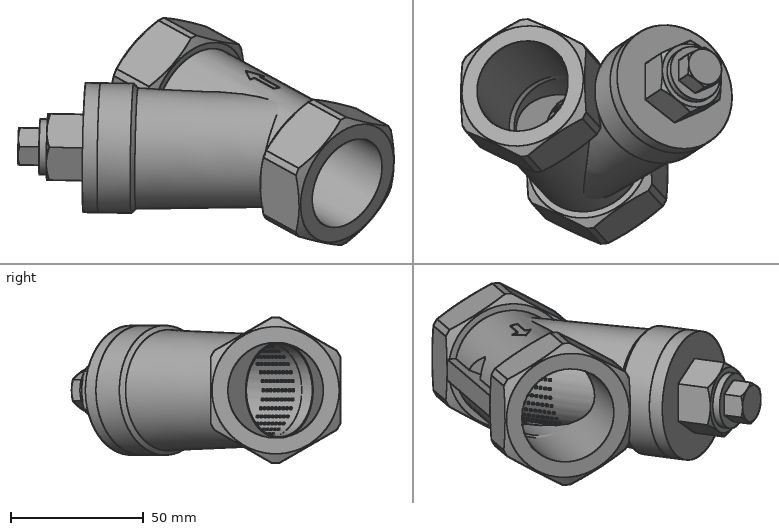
import cadquery as cq
import math

body_length = 105.0
pipe_dia = 43.0
port_dia = 36.0
hex_flats = 49.0
hex_corner_dia = 55.0
hex_face_dia = 48.0
hex_width = 22.1
chamfer_angle = 30.0
hex_inner_x = body_length / 2 - hex_width

passage_dia = 35.2
passage_shift = 1.05
port_end_x = -12.0
passage_start_x = port_end_x + 1.6

rib_half_height = 4.1
notch_left = (-4.2, 21.2)
notch_tip = (-0.6, 17.9)
notch_right = (11.8, 21.2)
notch_tip_radius = 1.6
arrow_y = 4.35
arrow_tip_x = -8.45
arrow_neck_x = -2.0
arrow_tail_x = 8.95
arrow_head_half = 3.65
arrow_shaft_half = 1.38
arrow_height = 0.2

branch_x = 20.0
branch_root_dia = 42.1
branch_end_dia = 45.7
collar_dia = 49.0
collar_chamfer_start = 57.2
collar_start = 58.9
collar_end = 71.4
chamber_dia = 38.0
plug_dia = 40.0
plug_start = 60.0
wall_near = 8.0
wall_far = -2.0
seat_depth = 4.0

cap_dia = 49.0
cap_face = 77.0
cap_hex_flats = 25.0
cap_hex_end = 91.0
neck_dia = 21.0
neck_end = 93.9
tip_flats = 14.0
tip_end = 101.91

strainer_dia = 36.0
strainer_bore = 35.2
hole_dia = 1.0
holes_around = 32
hole_rings = 9
first_ring = 8.3
ring_pitch = 2.0

FAR = 200.0


def branch_plane(distance):
    """Plane square to the branch axis; local X is the part's Z."""
    step = distance / math.sqrt(2)
    return cq.Workplane(cq.Plane((branch_x - step, -step, 0), (0, 0, 1), (-1, -1, 0)))


def branch_cylinder(diameter, start, end):
    return branch_plane(start).circle(diameter / 2).extrude(end - start)


def branch_profile(points):
    """Turn (radius, distance) points around the branch axis."""
    axis_plane = cq.Plane((branch_x, 0, 0), (1, -1, 0), (0, 0, 1))
    outline = cq.Workplane(axis_plane).polyline([(r, -d) for r, d in points]).close()
    return outline.revolve(360, (0, 0), (0, 1))


def chamfered_nut(plane, flats, corner_dia, face_dia, length, both_ends):
    """Hexagon with a corner on local X, trimmed by a turned profile with chamfered ends."""
    corner = corner_dia / 2
    face = face_dia / 2
    rise = (corner - face) * math.tan(math.radians(chamfer_angle))
    nut = cq.Workplane(plane).polygon(6, flats / math.cos(math.pi / 6)).extrude(length)
    start = [(face, 0), (corner, rise)] if both_ends else [(corner, 0)]
    outline = [(0, 0), *start, (corner, length - rise), (face, length), (0, length)]
    turn_plane = cq.Plane(plane.origin, plane.xDir, -plane.yDir)
    turned = cq.Workplane(turn_plane).polyline(outline).close().revolve(360, (0, 0), (0, 1))
    return nut.intersect(turned)


def port_nut(start_x):
    plane = cq.Plane((start_x, 0, 0), (0, 0, 1), (1, 0, 0))
    return chamfered_nut(plane, hex_flats, hex_corner_dia, hex_face_dia, hex_width, True)


def back_rib():
    return cq.Workplane("XZ").rect(2 * hex_inner_x, 2 * rib_half_height).extrude(-hex_flats / 2)


def rib_notch():
    """Cut in the pipe wall beside the rib, with its floor level with the rib's upper face."""
    back = hex_flats / 2
    outline = [notch_left, notch_tip, notch_right, (notch_right[0], back), (notch_left[0], back)]
    notch = cq.Workplane("XY", origin=(0, 0, rib_half_height)).polyline(outline).close().extrude(pipe_dia)
    return notch.edges("|Z").edges("<Y").fillet(notch_tip_radius)


def flow_arrow():
    outline = [
        (arrow_tip_x, 0),
        (arrow_neck_x, arrow_head_half),
        (arrow_neck_x, arrow_shaft_half),
        (arrow_tail_x, arrow_shaft_half),
        (arrow_tail_x, -arrow_shaft_half),
        (arrow_neck_x, -arrow_shaft_half),
        (arrow_neck_x, -arrow_head_half),
    ]
    arrow = cq.Workplane("XY").center(0, arrow_y).polyline(outline).close().extrude(pipe_dia)
    skin = cq.Workplane("YZ").circle(pipe_dia / 2 + arrow_height).extrude(hex_inner_x, both=True)
    return arrow.intersect(skin)


def inlet_passage():
    port = cq.Workplane("YZ", origin=(-body_length / 2, 0, 0)).circle(port_dia / 2)
    port = port.extrude(body_length / 2 + port_end_x)
    narrowing = (
        cq.Workplane("YZ", origin=(port_end_x, 0, 0))
        .circle(port_dia / 2)
        .workplane(offset=passage_start_x - port_end_x)
        .center(-passage_shift, 0)
        .circle(passage_dia / 2)
        .loft(ruled=True)
    )
    passage = (
        cq.Workplane("YZ", origin=(passage_start_x, -passage_shift, 0))
        .circle(passage_dia / 2)
        .extrude(body_length)
    )
    return port.union(narrowing).union(passage)


def make_housing():
    housing = cq.Workplane("YZ").circle(pipe_dia / 2).extrude(hex_inner_x, both=True)
    housing = housing.cut(rib_notch()).union(back_rib()).union(flow_arrow())
    for start_x in (-body_length / 2, hex_inner_x):
        housing = housing.union(port_nut(start_x))
    branch = branch_profile([
        (0, 0),
        (branch_root_dia / 2, 0),
        (branch_end_dia / 2, collar_chamfer_start),
        (collar_dia / 2, collar_start),
        (collar_dia / 2, collar_end),
        (0, collar_end),
    ])
    housing = housing.union(branch)

    inlet = inlet_passage().intersect(branch_plane(wall_near).rect(FAR, FAR).extrude(FAR))
    outlet = cq.Workplane("YZ", origin=(-body_length / 2, 0, 0)).circle(port_dia / 2).extrude(body_length)
    outlet = outlet.intersect(branch_plane(wall_far).rect(FAR, FAR).extrude(-FAR))
    housing = housing.cut(inlet).cut(outlet)

    housing = housing.cut(branch_cylinder(strainer_dia, wall_far, seat_depth))
    housing = housing.cut(branch_cylinder(chamber_dia, seat_depth, plug_start))
    return housing.cut(branch_cylinder(plug_dia, plug_start, collar_end))


def make_cap():
    """Cap with its plug, hexagons and the strainer tube it carries."""
    cap = branch_cylinder(plug_dia, plug_start, collar_end)
    cap = cap.union(branch_cylinder(cap_dia, collar_end, cap_face))
    to_corners = 1 / math.cos(math.pi / 6)
    for flats, start, end in ((cap_hex_flats, cap_face, cap_hex_end), (tip_flats, neck_end, tip_end)):
        plane = branch_plane(start).plane
        cap = cap.union(chamfered_nut(plane, flats, flats * to_corners, flats, end - start, False))
    cap = cap.union(branch_cylinder(neck_dia, cap_hex_end, neck_end))

    tube = branch_cylinder(strainer_dia, wall_far, plug_start)
    tube = tube.cut(branch_cylinder(strainer_bore, wall_far, plug_start))
    drills = []
    for ring in range(hole_rings):
        plane = branch_plane(first_ring + ring * ring_pitch).plane
        for index in range(holes_around):
            angle = 2 * math.pi * index / holes_around
            direction = plane.xDir * math.cos(angle) + plane.yDir * math.sin(angle)
            start = plane.origin + direction * (strainer_bore / 2 - hole_dia)
            drills.append(cq.Solid.makeCylinder(hole_dia / 2, 3 * hole_dia, start, direction))
    tube = cq.Workplane(tube.val().cut(*drills))
    return cap.union(tube)


housing = make_housing()
cap = make_cap()
result = cq.Compound.makeCompound([*housing.vals(), *cap.vals()])